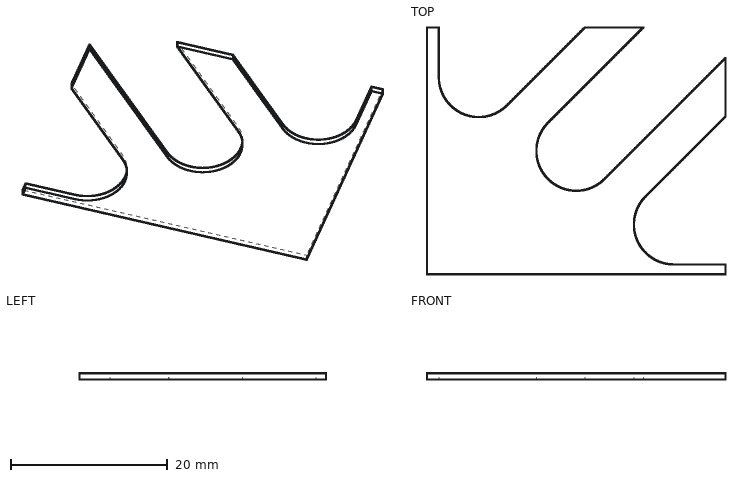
import cadquery as cq
import math

length = 38.1
width = 31.5
thickness = 0.81

notch_radius = 5.08
left_strip = 1.524
bottom_strip = 1.27
wall_reach = length + width

along_x = 0
diagonal = 45
along_y = 90
right_angle = 90
full_turn = 360

middle_centre = (length / 2, width / 2)
upper_centre = (left_strip + notch_radius, width - bottom_strip - notch_radius)
lower_centre = (length - left_strip - notch_radius, bottom_strip + notch_radius)


def offset(point, direction, distance):
    """Move a point by a distance along a direction given in degrees."""
    angle = math.radians(direction)
    return (
        point[0] + distance * math.cos(angle),
        point[1] + distance * math.sin(angle),
    )


def notch(centre, right_wall, left_wall):
    """Cutter with a round bottom and two walls tangent to it.

    Each wall leaves the round bottom in its own direction, in degrees.
    """
    right_normal = right_wall - right_angle
    left_normal = left_wall + right_angle - full_turn
    bottom_normal = (right_normal + left_normal) / 2

    right_tangent = offset(centre, right_normal, notch_radius)
    bottom = offset(centre, bottom_normal, notch_radius)
    left_tangent = offset(centre, left_normal, notch_radius)
    return (
        cq.Workplane("XY")
        .moveTo(*offset(right_tangent, right_wall, wall_reach))
        .lineTo(*right_tangent)
        .threePointArc(bottom, left_tangent)
        .lineTo(*offset(left_tangent, left_wall, wall_reach))
        .close()
        .extrude(thickness)
    )


plate = cq.Workplane("XY").box(length, width, thickness, centered=False)

result = (
    plate
    .cut(notch(middle_centre, diagonal, diagonal))
    .cut(notch(upper_centre, diagonal, along_y))
    .cut(notch(lower_centre, along_x, diagonal))
)